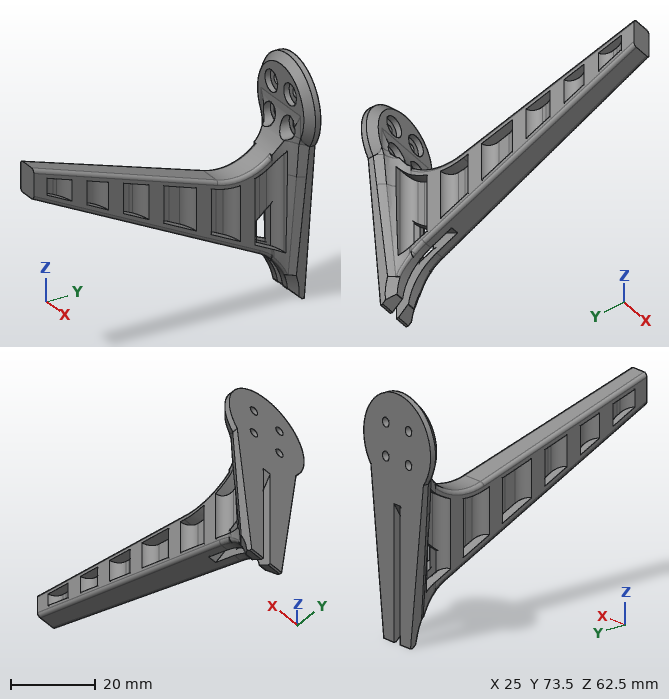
import cadquery as cq
import math


head_radius = 12.5
plate_thickness = 3.5
plate_chamfer = 2.0
foot_z = -50.0
foot_half_width = 5.0
shoulder_half_width = 10.7
foot_end_rim = 0.65
foot_end_height = 2.6

arm_reach = 73.5
blend_radius = 15.0
top_center_z = 0.5
bottom_center_z = -49.3
top_angle = math.radians(17.5)
bottom_angle = math.radians(25.8)
blend_center_y = plate_thickness + blend_radius

root_half_width = 4.1
tip_half_width = 3.0
edge_fillet = 1.0
flare_edge_fillet = 0.8

flare_half_width = 9.0
flare_radius = flare_half_width - root_half_width
flare_end_y = plate_thickness + flare_radius
quarter_bulge = (math.sqrt(2) - 1) / 2
flare_sections = [
    (top_center_z, 1.5, flare_half_width, plate_thickness, quarter_bulge),
    (-5.5, 1.5, flare_half_width, plate_thickness, quarter_bulge),
    (-7.2, 1.5, 8.35, 3.55, 0.19),
    (-16.0, 1.8, 7.6, 3.75, 0.165),
    (-43.0, 2.7, 4.55, 4.2, 0.04),
]
toe_top_z = flare_sections[-1][0]
toe_overlap = 5.0

pocket_widths = [8.0, 8.0, 9.0, 7.0, 6.0, 7.0]
first_pocket_y = 5.0
pocket_gap = 4.0
pocket_radius = 3.0
pocket_inset = 2.0
web_half_thickness = 1.0

slot_width = 2.3
slot_tip_y = 18.2
slot_tip_z = -32.8
slot_wall_z = -15.3
slot_middle_y = 7.0
slot_middle_z = -25.1

hole_pitch = 8.5
hole_diameter = 2.4
counterbore_diameter = 5.7
counterbore_depth = 1.5

BIG = 200.0
EDGE_MARGIN = 0.2


def side_profile(inset=0.0, blend_bottom=True):
    """Side outline of the arm, shrunk by inset on its top and bottom edges.

    Without blend_bottom the underside runs straight on to the wall.
    """
    radius = blend_radius + inset
    start_y = blend_center_y - radius

    def top_point(angle):
        return (-(blend_center_y + radius * math.sin(angle)), top_center_z - radius * math.cos(angle))

    def bottom_point(angle):
        return (-(blend_center_y - radius * math.sin(angle)), bottom_center_z + radius * math.cos(angle))

    top_tangent = top_point(top_angle)
    bottom_tangent = bottom_point(bottom_angle)
    top_tip_z = top_tangent[1] + (arm_reach + top_tangent[0]) * math.tan(top_angle)
    bottom_wall_z = bottom_tangent[1] + bottom_tangent[0] * math.tan(bottom_angle)
    bottom_tip_z = bottom_wall_z + arm_reach * math.tan(bottom_angle)
    top_middle = top_point((top_angle - math.pi / 2) / 2)
    bottom_middle = bottom_point((bottom_angle + math.pi / 2) / 2)
    outline = (
        cq.Workplane("YZ")
        .moveTo(0, top_center_z)
        .lineTo(-start_y, top_center_z)
        .threePointArc(top_middle, top_tangent)
        .lineTo(-arm_reach, top_tip_z)
        .lineTo(-arm_reach, bottom_tip_z)
    )
    if not blend_bottom:
        return outline.lineTo(0, bottom_wall_z).close()
    return (
        outline
        .lineTo(*bottom_tangent)
        .threePointArc(bottom_middle, (-start_y, bottom_center_z))
        .lineTo(0, bottom_center_z)
        .close()
    )


def half_width_at(z):
    """Half width of the tapered foot at height z."""
    return shoulder_half_width + (foot_half_width - shoulder_half_width) * z / foot_z


def make_head():
    disc = cq.Workplane("XZ").circle(head_radius).extrude(plate_thickness)
    return disc.faces("<Y").chamfer(plate_chamfer)


def flare_section(z, rim, start_x, start_depth, bulge):
    """Section at height z: rim, sloped edge, then a hollow arc in to the root of the arm."""
    half = half_width_at(z)
    chord_x = root_half_width - start_x
    chord_y = start_depth - flare_end_y
    middle_x = start_x + chord_x / 2 + bulge * chord_y
    middle_y = -start_depth + chord_y / 2 - bulge * chord_x
    section = (
        cq.Workplane("XY")
        .workplane(offset=z)
        .moveTo(-half, 0)
        .lineTo(-half, -rim)
        .lineTo(-start_x, -start_depth)
        .threePointArc((-middle_x, middle_y), (-root_half_width, -flare_end_y))
        .lineTo(root_half_width, -flare_end_y)
        .threePointArc((middle_x, middle_y), (start_x, -start_depth))
        .lineTo(half, -rim)
        .lineTo(half, 0)
        .close()
    )
    return section.wire().val()


def make_flare():
    wires = [flare_section(*values) for values in flare_sections]
    flare = cq.Workplane(cq.Solid.makeLoft(wires, True))
    flare = flare.intersect(side_profile().extrude(BIG, both=True))
    under_edges = cq.selectors.BoxSelector(
        (-BIG, -flare_end_y + EDGE_MARGIN, toe_top_z + EDGE_MARGIN),
        (BIG, -plate_thickness, toe_top_z + toe_overlap),
    )
    return flare.edges(under_edges).fillet(flare_edge_fillet)


def make_toe():
    """Lower end of the plate: chamfered on its sides and cut off on a slope below."""
    top_z = toe_top_z + toe_overlap

    def front_depth(z):
        return blend_center_y - math.sqrt(blend_radius**2 - (z - bottom_center_z) ** 2)

    middle_z = (bottom_center_z + top_z) / 2
    profile = (
        cq.Workplane("YZ")
        .moveTo(0, foot_z)
        .lineTo(-plate_thickness, foot_z)
        .lineTo(-plate_thickness, bottom_center_z)
        .threePointArc((-front_depth(middle_z), middle_z), (-front_depth(top_z), top_z))
        .lineTo(0, top_z)
        .close()
        .extrude(BIG, both=True)
    )
    top_half_width = half_width_at(top_z)
    taper = (
        cq.Workplane("XZ")
        .polyline([
            (-foot_half_width, foot_z),
            (foot_half_width, foot_z),
            (top_half_width, top_z),
            (-top_half_width, top_z),
        ])
        .close()
        .extrude(BIG)
    )
    low, high = foot_z + EDGE_MARGIN, top_z - EDGE_MARGIN
    right_edges = cq.selectors.BoxSelector((1, -BIG, low), (BIG, -1, high))
    left_edges = cq.selectors.BoxSelector((-BIG, -BIG, low), (-1, -1, high))
    toe = profile.intersect(taper).edges(right_edges + left_edges).chamfer(plate_chamfer)
    toe = toe.cut(cq.Workplane("XY").workplane(offset=toe_top_z).rect(BIG, BIG).extrude(BIG))

    end_cut = (
        cq.Workplane("YZ")
        .polyline([
            (-foot_end_rim, foot_z),
            (-plate_thickness, foot_z + foot_end_height),
            (-plate_thickness - plate_chamfer, foot_z + foot_end_height),
            (-plate_thickness - plate_chamfer, foot_z),
        ])
        .close()
        .extrude(BIG, both=True)
    )
    return toe.cut(end_cut)


def make_arm():
    plan = (
        cq.Workplane("XY")
        .moveTo(-root_half_width, -plate_thickness)
        .lineTo(-root_half_width, -flare_end_y)
        .lineTo(-tip_half_width, -arm_reach)
        .lineTo(tip_half_width, -arm_reach)
        .lineTo(root_half_width, -flare_end_y)
        .lineTo(root_half_width, -plate_thickness)
        .close()
        .extrude(BIG, both=True)
    )
    above_toe = cq.Workplane("XY").workplane(offset=toe_top_z).rect(BIG, BIG).extrude(BIG)
    arm = side_profile().extrude(BIG, both=True).intersect(plan).intersect(above_toe)
    long_edges = cq.selectors.BoxSelector(
        (-BIG, -arm_reach + EDGE_MARGIN, -BIG),
        (BIG, -flare_end_y - EDGE_MARGIN, BIG),
    )
    return arm.edges(long_edges).fillet(edge_fillet)


def pocket_outline(inner_y, width):
    """Plan of one pocket on the +X side: a flat floor with a quarter round at both ends."""
    outer_y = inner_y + width
    open_x = web_half_thickness + pocket_radius
    sagitta = pocket_radius * (1 - math.sqrt(0.5))
    floor_x = web_half_thickness
    sketch = (
        cq.Workplane("XY")
        .moveTo(BIG, -inner_y)
        .lineTo(open_x, -inner_y)
        .threePointArc((floor_x + sagitta, -inner_y - sagitta), (floor_x, -inner_y - pocket_radius))
    )
    if width > 2 * pocket_radius:
        sketch = sketch.lineTo(floor_x, -outer_y + pocket_radius)
    return (
        sketch
        .threePointArc((floor_x + sagitta, -outer_y + sagitta), (open_x, -outer_y))
        .lineTo(BIG, -outer_y)
        .close()
    )


def make_pockets():
    window = side_profile(pocket_inset, blend_bottom=False).extrude(BIG, both=True)
    pockets = []
    inner_y = first_pocket_y
    for width in pocket_widths:
        pocket = pocket_outline(inner_y, width).extrude(BIG, both=True).intersect(window)
        pockets += [pocket, pocket.mirror("YZ")]
        inner_y += width + pocket_gap
    return pockets


def make_slot():
    return (
        cq.Workplane("YZ")
        .moveTo(0, slot_wall_z)
        .threePointArc((-slot_middle_y, slot_middle_z), (-slot_tip_y, slot_tip_z))
        .lineTo(-slot_tip_y, foot_z)
        .lineTo(0, foot_z)
        .close()
        .extrude(slot_width / 2, both=True)
    )


def make_screw_holes():
    centers = cq.Workplane("XZ").rect(hole_pitch, hole_pitch, forConstruction=True).vertices()
    holes = centers.circle(hole_diameter / 2).extrude(plate_thickness)
    seats = (
        cq.Workplane("XZ", origin=(0, counterbore_depth - plate_thickness, 0))
        .rect(hole_pitch, hole_pitch, forConstruction=True)
        .vertices()
        .circle(counterbore_diameter / 2)
        .extrude(flare_end_y)
    )
    return holes.union(seats)


result = make_head().union(make_flare()).union(make_toe()).union(make_arm())
for pocket in make_pockets():
    result = result.cut(pocket)
result = result.cut(make_slot()).cut(make_screw_holes())